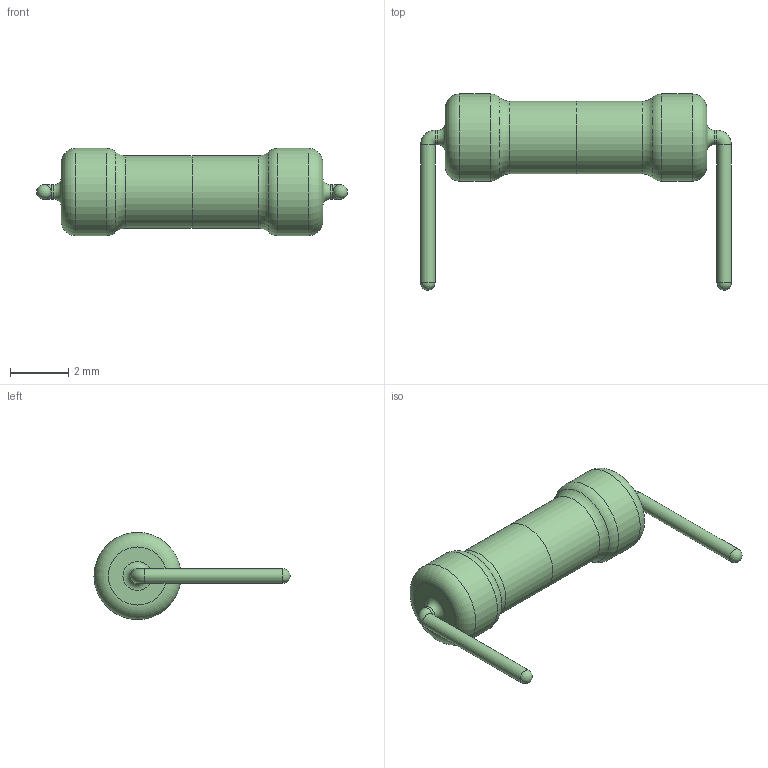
import cadquery as cq
import math


body_length = 9.0
cap_radius = 1.5
barrel_radius = 1.25
cap_edge_radius = 0.5
neck_radius = 0.5
cap_shoulder_x = 2.95

lead_radius = 0.25
lead_pitch = 10.2
lead_drop = 5.0
bend_inner_radius = 0.002
lead_fillet_radius = 0.25

half_length = body_length / 2
leg_x = lead_pitch / 2
bend_radius = lead_radius + bend_inner_radius
bend_start_x = leg_x - bend_radius
quarter_turn = math.pi / 2

neck_angle = math.acos(1 - (cap_radius - barrel_radius) / (2 * neck_radius))
neck_run = neck_radius * math.sin(neck_angle)
neck_mid_x = cap_shoulder_x - neck_run
neck_end_x = neck_mid_x - neck_run
neck_mid_radius = (cap_radius + barrel_radius) / 2


def arc_point(center, radius, angle):
    """Point on a circle at the given angle, measured from +X."""
    return (center[0] + radius * math.cos(angle), center[1] + radius * math.sin(angle))


def make_half_body():
    """The +X half of the body with the straight stub of its lead, turned about the X axis."""
    rim_center = (half_length - cap_edge_radius, cap_radius - cap_edge_radius)
    shoulder_center = (cap_shoulder_x, cap_radius - neck_radius)
    hollow_center = (neck_end_x, barrel_radius + neck_radius)
    flare_center = (half_length + lead_fillet_radius, lead_radius + lead_fillet_radius)
    half_neck = neck_angle / 2

    profile = (
        cq.Workplane("XY")
        .moveTo(0, 0)
        .lineTo(0, barrel_radius)
        .lineTo(neck_end_x, barrel_radius)
        .threePointArc(
            arc_point(hollow_center, neck_radius, -quarter_turn + half_neck),
            (neck_mid_x, neck_mid_radius),
        )
        .threePointArc(
            arc_point(shoulder_center, neck_radius, quarter_turn + half_neck),
            (cap_shoulder_x, cap_radius),
        )
        .lineTo(rim_center[0], cap_radius)
        .threePointArc(
            arc_point(rim_center, cap_edge_radius, quarter_turn / 2),
            (half_length, rim_center[1]),
        )
        .lineTo(half_length, flare_center[1])
        .threePointArc(
            arc_point(flare_center, lead_fillet_radius, 2.5 * quarter_turn),
            (flare_center[0], lead_radius),
        )
        .lineTo(bend_start_x, lead_radius)
        .lineTo(bend_start_x, 0)
        .close()
    )
    return profile.revolve(360, (0, 0, 0), (1, 0, 0))


def make_lead():
    """The +X lead beyond its stub: quarter bend, straight leg and hemispherical tip."""
    bend = (
        cq.Workplane("YZ", origin=(bend_start_x, 0, 0))
        .circle(lead_radius)
        .revolve(90, (-bend_radius, 1, 0), (-bend_radius, 0, 0))
    )
    leg = (
        cq.Workplane("XZ", origin=(leg_x, -bend_radius, 0))
        .circle(lead_radius)
        .extrude(lead_drop - bend_radius)
    )
    tip = cq.Workplane("XY", origin=(leg_x, -lead_drop, 0)).sphere(lead_radius)
    return bend.union(leg).union(tip)


right_half = make_half_body().union(make_lead())
result = right_half.union(right_half.mirror("YZ")).clean()